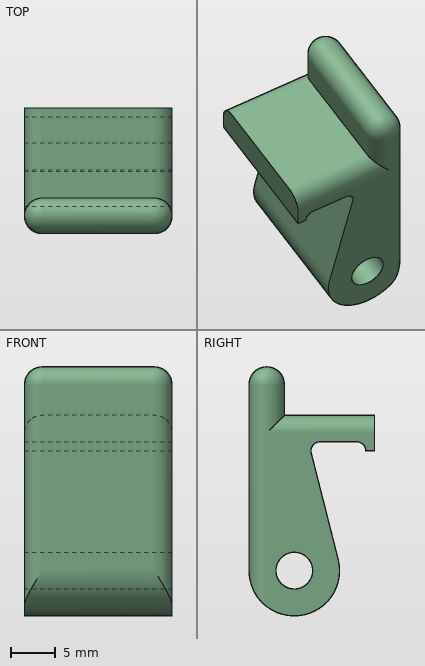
import cadquery as cq
import math

width = 16.6
depth = 14.12
height = 28.0

pivot_radius = 5.1
hole_diameter = 4.1

edge_radius = 2.0
plate_thickness = 2 * edge_radius

shelf_top = 17.45
shelf_thickness = 3.0
lip_length = 1.0
lip_radius = 1.0
web_fillet = 1.0
web_corner_y = 1.6

half_width = width / 2
front_y = -pivot_radius
back_y = front_y + depth
bottom_z = -pivot_radius
top_z = bottom_z + height
plate_mid_y = front_y + edge_radius
plate_back_y = front_y + plate_thickness
shelf_underside = shelf_top - shelf_thickness
lip_bottom = shelf_underside - lip_radius
lip_inner_y = back_y - lip_length
lip_arc_y = lip_inner_y - lip_radius
end_axis_x = half_width - edge_radius
round_axis_z = top_z - edge_radius


def rod_along_x(radius, length, y, z):
    """Cylinder along X, centred on X = 0."""
    return cq.Workplane("YZ", origin=(-length / 2, y, z)).circle(radius).extrude(length)


def web_tangent_point():
    """Point where the sloped web edge touches the pivot circle, as (y, z)."""
    corner_distance = math.hypot(web_corner_y, shelf_underside)
    corner_angle = math.atan2(shelf_underside, web_corner_y)
    angle = corner_angle - math.acos(pivot_radius / corner_distance)
    return pivot_radius * math.cos(angle), pivot_radius * math.sin(angle)


def side_profile():
    """Side outline over the full width, with the corner between shelf and web filleted."""
    body = (
        cq.Workplane("YZ", origin=(-half_width, 0, 0))
        .moveTo(front_y, 0)
        .lineTo(front_y, top_z)
        .lineTo(plate_back_y, top_z)
        .lineTo(plate_back_y, shelf_top)
        .lineTo(back_y, shelf_top)
        .lineTo(back_y, lip_bottom)
        .lineTo(lip_inner_y, lip_bottom)
        .threePointArc(
            (lip_arc_y + lip_radius * math.sqrt(0.5), lip_bottom + lip_radius * math.sqrt(0.5)),
            (lip_arc_y, shelf_underside),
        )
        .lineTo(web_corner_y, shelf_underside)
        .lineTo(*web_tangent_point())
        .threePointArc((0, bottom_z), (front_y, 0))
        .close()
        .extrude(width)
    )
    web_corner = cq.NearestToPointSelector((0, web_corner_y, shelf_underside))
    return body.edges("|X").edges(web_corner).fillet(web_fillet)


def rounded_plate():
    """Upright slab whose sides and top are full rounds with ball corners."""
    straight_height = round_axis_z - bottom_z
    plate = (
        cq.Workplane("XY", origin=(0, plate_mid_y, bottom_z))
        .rect(2 * end_axis_x, plate_thickness)
        .extrude(straight_height)
    )
    plate = plate.union(rod_along_x(edge_radius, 2 * end_axis_x, plate_mid_y, round_axis_z))
    for x in (-end_axis_x, end_axis_x):
        side_round = (
            cq.Workplane("XY", origin=(x, plate_mid_y, bottom_z))
            .circle(edge_radius)
            .extrude(straight_height)
        )
        corner_ball = cq.Workplane("XY", origin=(x, plate_mid_y, round_axis_z)).sphere(edge_radius)
        plate = plate.union(side_round).union(corner_ball)
    return plate


def rounded_block():
    """Block behind the plate's mid plane, its two long top edges rounded."""
    return (
        cq.Workplane("XY", origin=(0, plate_mid_y, bottom_z))
        .box(width, back_y - plate_mid_y, shelf_top - bottom_z, centered=(True, False, False))
        .edges("|Y and >Z")
        .fillet(edge_radius)
    )


envelope = rounded_plate().union(rounded_block())
pivot_hole = rod_along_x(hole_diameter / 2, width, 0, 0)
result = envelope.intersect(side_profile()).cut(pivot_hole)